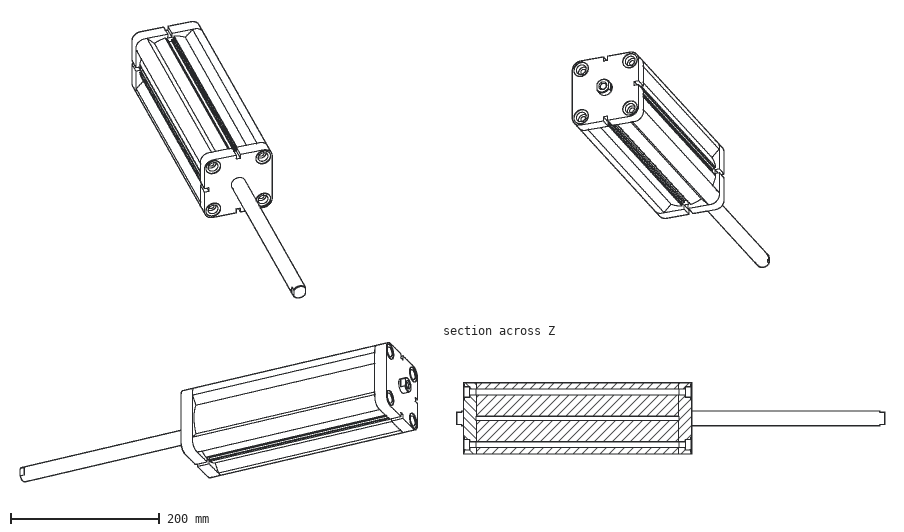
import cadquery as cq
import math

rod_length = 576.5
rod_projection = 9.0
cap_thickness = 17.5
tube_length = 272.5
tube_start = rod_projection + cap_thickness
front_cap_start = tube_start + tube_length

body_width = 96.0
half_width = body_width / 2
corner_radius = 12.5
corner_center = half_width - corner_radius

barrel_radius = 43.0
post_edge = 32.0
valley_offset = 22.0

cap_slot_width = 6.0
cap_slot_depth = 6.5
tube_slot_steps = ((12.0, 41.0), (8.5, 38.0), (5.0, 35.0))
slot_angles = (0, 90, 180)

seat_radius = 10.5
seat_depth = 1.0
head_radius = 7.0
head_depth = 8.5
screw_hole_radius = 3.75

rod_radius = 10.1
rod_chamfer = 0.85
flat_distance = 17.0
flat_length = 7.0
thread_hole_radius = 4.3
thread_hole_depth = 20.0
thread_chamfer = 1.45
drill_tip_depth = 3.0


def section(x):
    """Workplane across the cylinder at x, with local axes along Y and Z."""
    return cq.Workplane("YZ", origin=(x, 0, 0))


def corner_points():
    return [(y, z) for y in (-corner_center, corner_center) for z in (-corner_center, corner_center)]


def round_bar(x, radius, length, places=((0, 0),)):
    return section(x).pushPoints(places).circle(radius).extrude(length)


def slots(x, length, width, floor):
    """Cutters for a slot of this width and floor height on each of the slotted sides."""
    depth = half_width - floor
    cutter = cq.Workplane().box(length, width, depth).translate((x + length / 2, 0, floor + depth / 2))
    return [cutter.rotate((0, 0, 0), (1, 0, 0), angle) for angle in slot_angles]


def make_tube():
    post_top = corner_center + math.sqrt(corner_radius**2 - (corner_center - post_edge) ** 2)
    arc_middle = corner_center + corner_radius / math.sqrt(2)
    valley_height = math.sqrt(barrel_radius**2 - valley_offset**2)
    tube = round_bar(tube_start, barrel_radius, tube_length)
    post = (
        section(tube_start)
        .moveTo(0, 0)
        .lineTo(valley_offset, valley_height)
        .lineTo(post_edge, post_top)
        .threePointArc((arc_middle, arc_middle), (post_top, post_edge))
        .lineTo(valley_height, valley_offset)
        .close()
        .extrude(tube_length)
    )
    for quarter in range(4):
        tube = tube.union(post.rotate((0, 0, 0), (1, 0, 0), 90 * quarter))
    for width, floor in tube_slot_steps:
        for cutter in slots(tube_start, tube_length, width, floor):
            tube = tube.cut(cutter)
    tube = tube.cut(round_bar(tube_start, screw_hole_radius, tube_length, corner_points()))
    return tube.cut(round_bar(tube_start, rod_radius, tube_length))


def make_cap():
    """End cap with its screw seats on the -X face, which lies at x = 0."""
    cap = section(0).rect(body_width, body_width).extrude(cap_thickness)
    cap = cap.edges("|X").fillet(corner_radius)
    for cutter in slots(0, cap_thickness, cap_slot_width, half_width - cap_slot_depth):
        cap = cap.cut(cutter)
    cap = cap.cut(round_bar(0, seat_radius, seat_depth, corner_points()))
    cap = cap.cut(round_bar(0, head_radius, head_depth, corner_points()))
    cap = cap.cut(round_bar(0, screw_hole_radius, cap_thickness, corner_points()))
    return cap.cut(round_bar(0, rod_radius, cap_thickness))


def make_rod():
    rod = round_bar(0, rod_radius, rod_length).faces("<X or >X").chamfer(rod_chamfer)

    flat_depth = rod_radius - flat_distance / 2
    flat_offset = (flat_distance + flat_depth) / 2
    for x in (flat_length / 2, rod_length - flat_length / 2):
        for side in (-1, 1):
            flat = cq.Workplane().box(flat_length, flat_depth, 2 * rod_radius)
            rod = rod.cut(flat.translate((x, side * flat_offset, 0)))

    thread_hole = (
        cq.Workplane("XY")
        .polyline([
            (0, 0),
            (0, thread_hole_radius + thread_chamfer),
            (thread_chamfer, thread_hole_radius),
            (thread_hole_depth, thread_hole_radius),
            (thread_hole_depth + drill_tip_depth, 0),
        ])
        .close()
        .revolve(360, (0, 0, 0), (1, 0, 0))
    )
    return rod.cut(thread_hole)


tube = make_tube()
rear_cap = make_cap().translate((rod_projection, 0, 0))
front_cap = make_cap().mirror("YZ").translate((front_cap_start + cap_thickness, 0, 0))
rod = make_rod()

result = cq.Compound.makeCompound([tube.val(), rear_cap.val(), front_cap.val(), rod.val()])